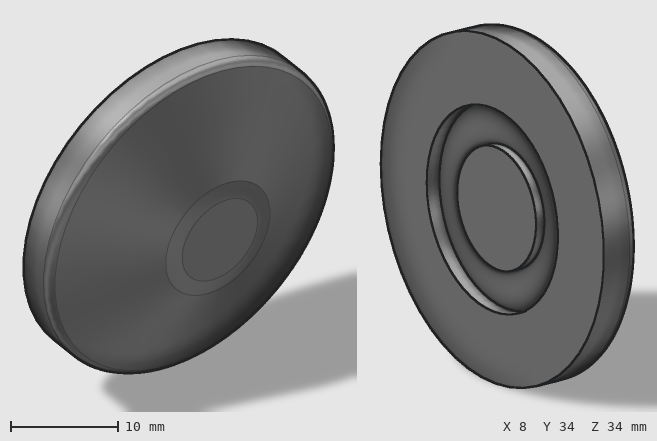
import cadquery as cq
import math

outer_diameter = 34.0
thickness = 8.0
outer_radius = outer_diameter / 2

cone_angle = math.radians(20)
rim_height = 3.75
tip_radius = outer_radius - (thickness - rim_height) / math.tan(cone_angle)
rim_fillet = 1.0
tip_fillet = 5.0

recess_diameter = 20.0
boss_diameter = 12.0
recess_depth = 1.5
boss_setback = 0.5


def make_body():
    """Revolve the half profile about X, then round the rim and the tip."""
    profile = (
        cq.Workplane("XY")
        .lineTo(0, outer_radius)
        .lineTo(rim_height, outer_radius)
        .lineTo(thickness, tip_radius)
        .lineTo(thickness, 0)
        .close()
    )
    body = profile.revolve(360, (0, 0, 0), (1, 0, 0))
    body = body.faces(">X").edges().fillet(tip_fillet)
    search_margin = 0.05
    rim_position = cq.selectors.BoxSelector(
        (rim_height - search_margin, -outer_diameter, -outer_diameter),
        (rim_height + search_margin, outer_diameter, outer_diameter),
    )
    return body.edges("%CIRCLE").edges(rim_position).fillet(rim_fillet)


def make_disc(diameter, start, end):
    """Disc on the X axis between two X positions."""
    return cq.Workplane("YZ", origin=(start, 0, 0)).circle(diameter / 2).extrude(end - start)


recess = make_disc(recess_diameter, 0, recess_depth)
boss = make_disc(boss_diameter, boss_setback, recess_depth)
result = make_body().cut(recess.cut(boss))